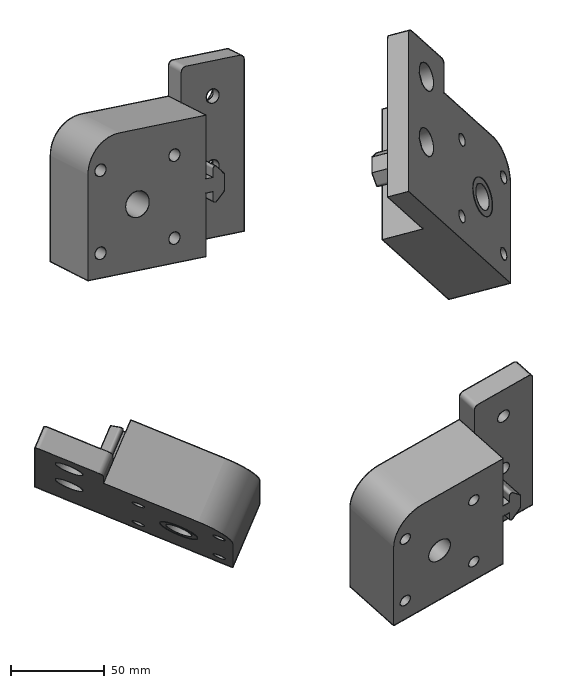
import cadquery as cq
import math

length = 115.0
height = 100.0
body_depth = 37.7
plate_depth = 12.9
plate_width = 40.0
block_height = 80.0
block_radius = 20.0
plate_corner_radius = 3.0
block_back = length - plate_width

bolt_diameter = 8.0
bolt_head_diameter = 16.0
bolt_head_depth = 7.0
bolt_y = length - plate_width / 2
bolt_heights = (block_height / 2, block_height)

bore_diameter = 15.0
bore_y = 31.4
bore_z = 37.6
ring_diameter = 22.0
ring_depth = 0.2
screw_diameter = 7.0
screw_spacing = 46.9

key_z = bolt_heights[0]
key_length = 11.7
neck_length = 4.4
neck_half_height = 4.0
barb_half_height = 10.2
barb_radius = 1.4


def make_body():
    """Plate and block, rounded along their upper X-direction edges."""
    plate = (
        cq.Workplane("XY")
        .box(plate_depth, plate_width, height, centered=False)
        .translate((0, block_back, 0))
        .edges("|X and >Z")
        .fillet(plate_corner_radius)
    )
    block = (
        cq.Workplane("XY")
        .box(body_depth, block_back, block_height, centered=False)
        .edges("|X and >Z and <Y")
        .fillet(block_radius)
    )
    return plate.union(block)


def make_key():
    """Key profile in YZ, starting at the block and extruded along X."""
    neck_end = block_back + neck_length
    nose = block_back + key_length
    arc_y = neck_end + barb_radius
    arc_z = barb_half_height - barb_radius
    diagonal = barb_radius * math.sqrt(0.5)
    slope_y = arc_y + diagonal
    slope_z = arc_z + diagonal
    nose_half_height = slope_z - (nose - slope_y)
    profile = (
        cq.Workplane("YZ", origin=(0, 0, key_z))
        .moveTo(block_back, -neck_half_height)
        .lineTo(neck_end, -neck_half_height)
        .lineTo(neck_end, -arc_z)
        .threePointArc((arc_y, -barb_half_height), (slope_y, -slope_z))
        .lineTo(nose, -nose_half_height)
        .lineTo(nose, nose_half_height)
        .lineTo(slope_y, slope_z)
        .threePointArc((arc_y, barb_half_height), (neck_end, arc_z))
        .lineTo(neck_end, neck_half_height)
        .lineTo(block_back, neck_half_height)
        .close()
    )
    return profile.extrude(body_depth)


def make_hole(y, z, diameter, depth):
    """Cylinder running from the -X face to the given depth."""
    return cq.Workplane("YZ").center(y, z).circle(diameter / 2).extrude(depth)


result = make_body().union(make_key())

for bolt_z in bolt_heights:
    result = result.cut(make_hole(bolt_y, bolt_z, bolt_diameter, plate_depth))
    result = result.cut(make_hole(bolt_y, bolt_z, bolt_head_diameter, bolt_head_depth))

result = result.cut(make_hole(bore_y, bore_z, bore_diameter, body_depth))
result = result.cut(make_hole(bore_y, bore_z, ring_diameter, ring_depth))

for side_y in (-1, 1):
    for side_z in (-1, 1):
        screw_y = bore_y + side_y * screw_spacing / 2
        screw_z = bore_z + side_z * screw_spacing / 2
        result = result.cut(make_hole(screw_y, screw_z, screw_diameter, body_depth))